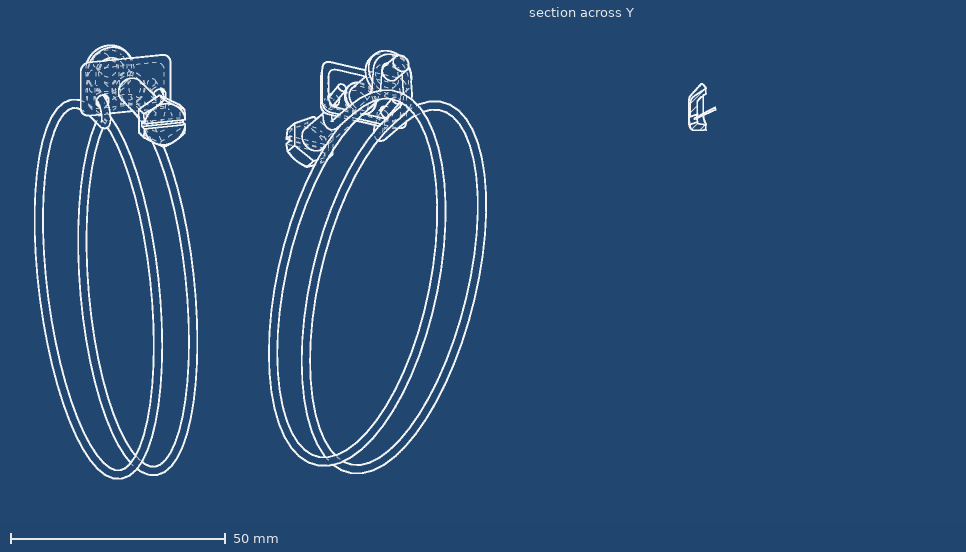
import cadquery as cq
import math


overall_height = 102.4

wire_radius = 1.0
clamp_width = 88.9
inner_run_y = 4.3
outer_run_y = 6.3
bend_radius = 3.1
leg_tilt = 4.0
arch_drop = 0.6
hook_start_x = 8.4
hook_lean = 6.0
hook_turn = 170.0
hook_end_length = 5.8

shank_radius = 3.1
pilot_radius = 2.0
pilot_tip_x = -12.9
collar_radius = 5.6
collar_start_x = -7.4
collar_thickness = 1.6
head_start_x = 31.2
head_thickness = 4.2
head_across_flats = 10.0
head_chamfer_angle = 40.0
slot_width = 1.2
slot_depth = 1.8

plate_x = 5.6
plate_depth = 4.2
plate_length = 22.0
plate_height = 13.1
plate_corner_radius = 2.3
plate_draft = 20.0
plate_edge_radius = 1.7
rim_width = 1.6
floor_thickness = 1.9
recess_fillet = 0.5
neck_radius = 4.0
neck_height = 0.5
hook_hole_radius = 1.5
hook_hole_y = 7.0
hook_hole_drop = 1.8

bolt_axis_z = overall_height - clamp_width / 2 - plate_height / 2

loop_radius = clamp_width / 2 - wire_radius

leg_x = collar_start_x - wire_radius
bend_end_x = leg_x + bend_radius


def lean_point(x, rise, side, start_y, lean):
    """Point at a height along a plane that leans outwards from the top of the hose."""
    angle = math.radians(lean)
    return cq.Vector(
        x,
        side * (start_y + rise * math.sin(angle)),
        loop_radius + rise * math.cos(angle),
    )


def hook_edges(side):
    """Straight run, hook and straight end, from the free end to the top of the hose loop."""

    def hook_point(angle_degrees, along=0.0):
        angle = math.radians(angle_degrees)
        x = hook_start_x + bend_radius * math.sin(angle) + along * math.cos(angle)
        rise = bend_radius * (1 - math.cos(angle)) + along * math.sin(angle)
        return lean_point(x, rise, side, outer_run_y, hook_lean)

    run_start = lean_point(0, 0, side, outer_run_y, hook_lean)
    hook_start = hook_point(0)
    hook_middle = hook_point(hook_turn / 2)
    hook_finish = hook_point(hook_turn)
    free_end = hook_point(hook_turn, hook_end_length)
    return [
        cq.Edge.makeLine(free_end, hook_finish),
        cq.Edge.makeThreePointArc(hook_finish, hook_middle, hook_start),
        cq.Edge.makeLine(hook_start, run_start),
    ]


def hose_loop_edges(side):
    """One turn round the hose; its -X half slants from the outer run to the inner run."""
    outer_top = cq.Vector(0, side * outer_run_y, loop_radius)
    slant_radius = math.hypot(loop_radius, (outer_run_y - inner_run_y) / 2)
    slant_middle = cq.Vector(-slant_radius, side * (outer_run_y + inner_run_y) / 2, 0)
    bottom = cq.Vector(0, side * inner_run_y, -loop_radius)
    far_side = cq.Vector(loop_radius, side * inner_run_y, 0)
    inner_top = cq.Vector(0, side * inner_run_y, loop_radius)
    return [
        cq.Edge.makeThreePointArc(outer_top, slant_middle, bottom),
        cq.Edge.makeThreePointArc(bottom, far_side, inner_top),
    ]


tilt = math.radians(leg_tilt)
arch_centre_z = bolt_axis_z - arch_drop
arch_rise = arch_centre_z - loop_radius
arch_radius = inner_run_y * math.cos(tilt) - arch_rise * math.sin(tilt)
leg_length = inner_run_y * math.sin(tilt) + arch_rise * math.cos(tilt)


def leg_edges(side):
    """Straight run, bend and leg, from the top of the hose loop up to the arc over the pilot."""

    def leg_point(x, rise):
        return lean_point(x, rise, side, inner_run_y, -leg_tilt)

    bend_offset = bend_radius * (1 - math.sqrt(0.5))
    bend_start = leg_point(bend_end_x, 0)
    bend_middle = leg_point(leg_x + bend_offset, bend_offset)
    bend_finish = leg_point(leg_x, bend_radius)
    return [
        cq.Edge.makeLine(leg_point(0, 0), bend_start),
        cq.Edge.makeThreePointArc(bend_start, bend_middle, bend_finish),
        cq.Edge.makeLine(bend_finish, leg_point(leg_x, leg_length)),
    ]


def arch_edge():
    """Arc over the pilot, from the -Y leg to the +Y leg."""
    front_end = lean_point(leg_x, leg_length, -1, inner_run_y, -leg_tilt)
    back_end = lean_point(leg_x, leg_length, 1, inner_run_y, -leg_tilt)
    crown = cq.Vector(leg_x, 0, arch_centre_z + arch_radius)
    return cq.Edge.makeThreePointArc(front_end, crown, back_end)


def half_path(side):
    return hook_edges(side) + hose_loop_edges(side) + leg_edges(side)


def make_wire():
    path = cq.Wire.assembleEdges(half_path(-1) + [arch_edge()] + half_path(1))
    start = path.startPoint()
    section = cq.Plane(origin=start, normal=path.tangentAt(0))
    return cq.Workplane(section).circle(wire_radius).sweep(cq.Workplane(path))


def bolt_section(x):
    """Workplane across the bolt axis with local X along +Y and its normal along +X."""
    return cq.Workplane("YZ", origin=(x, 0, bolt_axis_z))


def make_bolt():
    collar_end_x = collar_start_x + collar_thickness
    head_end_x = head_start_x + head_thickness
    pilot = bolt_section(pilot_tip_x).circle(pilot_radius).extrude(collar_start_x - pilot_tip_x)
    collar = bolt_section(collar_start_x).circle(collar_radius).extrude(collar_thickness)
    shank = bolt_section(collar_end_x).circle(shank_radius).extrude(head_start_x - collar_end_x)

    across_corners = head_across_flats / math.cos(math.radians(30))
    head = (
        bolt_section(head_start_x)
        .transformed(rotate=(0, 0, 90))
        .polygon(6, across_corners)
        .extrude(head_thickness)
    )
    end_radius = head_across_flats / 2
    cone_radius = end_radius + head_thickness / math.tan(math.radians(head_chamfer_angle))
    trim_cone = cq.Workplane(
        cq.Solid.makeCone(
            cone_radius,
            end_radius,
            head_thickness,
            cq.Vector(head_start_x, 0, bolt_axis_z),
            cq.Vector(1, 0, 0),
        )
    )
    slot = bolt_section(head_end_x - slot_depth).rect(across_corners, slot_width).extrude(slot_depth)
    head = head.intersect(trim_cone).cut(slot)
    return pilot.union(collar).union(shank).union(head)


def drafted_block(length, height, depth):
    """Block on the plate's open face that narrows towards +X, its four slanted edges rounded."""
    block = bolt_section(plate_x).rect(length, height).extrude(depth, taper=plate_draft)
    return block.edges("not(#X)").fillet(plate_corner_radius)


def make_plate():
    body = drafted_block(plate_length, plate_height, plate_depth)
    body = body.faces(">X").edges().fillet(plate_edge_radius)
    recess_depth = plate_depth - floor_thickness
    recess = drafted_block(plate_length - 2 * rim_width, plate_height - 2 * rim_width, recess_depth)
    recess = recess.faces(">X").edges().fillet(recess_fillet)
    neck = bolt_section(plate_x + recess_depth - neck_height).circle(neck_radius).extrude(neck_height)
    shank_hole = bolt_section(plate_x).circle(shank_radius).extrude(plate_depth)
    hook_holes = (
        bolt_section(plate_x)
        .pushPoints([(side * hook_hole_y, -hook_hole_drop) for side in (-1, 1)])
        .circle(hook_hole_radius)
        .extrude(plate_depth)
    )
    return body.cut(recess).union(neck).cut(shank_hole).cut(hook_holes)


wire = make_wire()
bolt = make_bolt()
plate = make_plate()

result = cq.Compound.makeCompound(
    [*wire.solids().vals(), *bolt.solids().vals(), *plate.solids().vals()]
)